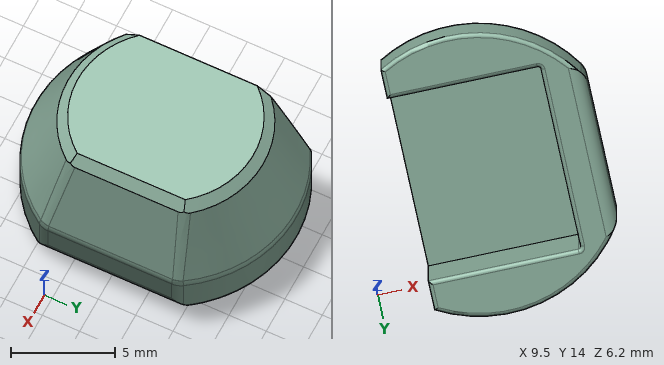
import cadquery as cq
import math

base_radius = 7.0
flat_front_x = 6.0
open_side_x = -3.5
height = 6.2
wall_height = 2.21
lean_angle = 26.7

top_bevel_drop = 0.46
top_bevel_width = 0.52
corner_radius = 1.0
shoulder_radius = 0.7
front_foot_radius = 0.7
foot_radius = 0.2

recess_width = 9.21
recess_height = 3.2
recess_end_x = 4.0
recess_corner_radius = 0.14

lean = math.tan(math.radians(lean_angle))
top_inset = (height - wall_height) * lean
bevel_inset = top_bevel_width - top_bevel_drop * lean
shoulder_tangent = shoulder_radius * math.tan(math.radians(lean_angle / 2))
shoulder_rise = shoulder_tangent * math.cos(math.radians(lean_angle))
shoulder_inset = shoulder_tangent * math.sin(math.radians(lean_angle))
shoulder_sagitta = shoulder_radius * (1 - math.cos(math.radians(lean_angle / 2)))
shoulder_mid_rise = shoulder_radius * math.sin(math.radians(lean_angle / 2)) - shoulder_tangent


def wall_section(inner, outer):
    """Closed XZ section from inner to a wall that rises at outer, then leans in."""
    return (
        cq.Workplane("XZ")
        .moveTo(inner, 0)
        .lineTo(outer, 0)
        .lineTo(outer, wall_height - shoulder_tangent)
        .threePointArc(
            (outer - shoulder_sagitta, wall_height + shoulder_mid_rise),
            (outer - shoulder_inset, wall_height + shoulder_rise),
        )
        .lineTo(outer - top_inset, height)
        .lineTo(inner, height)
        .close()
    )


def bevel_section(inner, outer):
    """Closed XZ section whose outer top corner carries the top bevel."""
    bevel_outer = outer - top_inset - bevel_inset
    slope = top_bevel_width / top_bevel_drop
    return cq.Workplane("XZ").polyline(
        [(inner, 0), (bevel_outer + slope * height, 0), (bevel_outer, height), (inner, height)]
    ).close()


def spin(section):
    return section.revolve(360, (0, 0), (0, 1))


def widen(section):
    return section.extrude(2 * base_radius, both=True)


def corner_edges(body):
    """Upright and leaning edges where the round wall meets the flat wall."""
    return body.edges().filter(
        lambda edge: edge.BoundingBox().zlen > shoulder_sagitta and edge.Center().x > top_inset
    )


def make_blank():
    """Round leaning body with a flat wall, rounded corners and a beveled top."""
    round_body = spin(wall_section(0, base_radius))
    flat_body = widen(wall_section(-base_radius, flat_front_x))
    leaning = round_body.intersect(flat_body)
    leaning = corner_edges(leaning).fillet(corner_radius)
    bevel = spin(bevel_section(0, base_radius)).intersect(
        widen(bevel_section(-2 * base_radius, flat_front_x))
    )
    return leaning.intersect(bevel)


def make_envelope():
    """Limits the body to the open side plane and rounds its bottom edges."""
    round_foot = cq.Workplane("XY").circle(base_radius).extrude(height)
    round_foot = round_foot.faces("<Z").edges().fillet(foot_radius)
    slab = (
        cq.Workplane("XY")
        .box(flat_front_x - open_side_x, 2 * base_radius, height, centered=(False, True, False))
        .translate((open_side_x, 0, 0))
    )
    slab = slab.faces(">X").edges("<Z").fillet(front_foot_radius)
    slab = slab.faces("<X").edges("<Z").fillet(foot_radius)
    return round_foot.intersect(slab)


def make_recess():
    length = recess_end_x + base_radius
    return (
        cq.Workplane("XY")
        .box(length, recess_width, recess_height, centered=(False, True, False))
        .edges("|Z and >X")
        .fillet(recess_corner_radius)
        .translate((-base_radius, 0, 0))
    )


def recess_foot_edges(body):
    """Bottom edges of the recess walls."""
    margin = 0.01
    return body.faces("<Z").edges(
        cq.selectors.BoxSelector(
            (-base_radius, -recess_width / 2 - margin, -margin),
            (recess_end_x + margin, recess_width / 2 + margin, margin),
            boundingbox=True,
        )
    )


body = make_blank().cut(make_recess())
body = recess_foot_edges(body).fillet(foot_radius)
result = body.intersect(make_envelope())